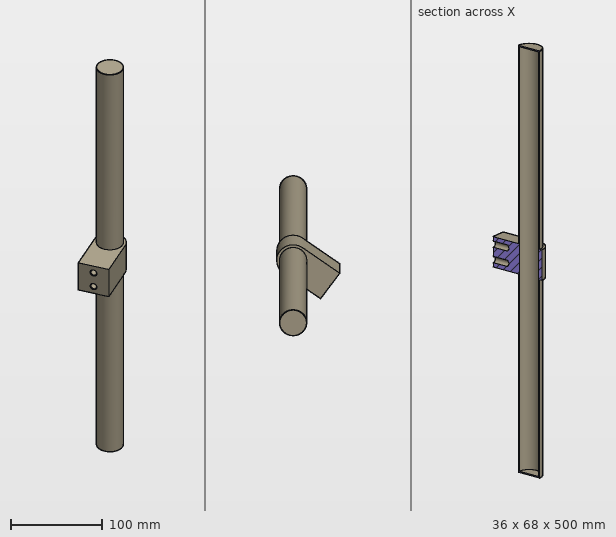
import cadquery as cq
import math

rod_length = 500.0
rod_diameter = 30.0
rod_bore_diameter = 26.0
rod_cap_thickness = 2.0
rod_end_chamfer = 0.5

block_width = 36.0
block_height = 36.0
block_reach = 50.0

hole_diameter = 6.65
hole_mouth_diameter = 8.0
hole_spacing = 18.0
hole_depth = 20.0
drill_point_angle = 118.0


def make_rod():
    rod = cq.Workplane("XY").circle(rod_diameter / 2).extrude(rod_length / 2, both=True)
    return rod.faces("|Z").edges().chamfer(rod_end_chamfer)


def make_rod_cavity():
    """Enclosed bore of the rod, stopping short of both ends by the cap thickness."""
    half_length = rod_length / 2 - rod_cap_thickness
    return cq.Workplane("XY").circle(rod_bore_diameter / 2).extrude(half_length, both=True)


def make_block():
    """Block with a flat face at -Y and a half-round back around the rod axis."""
    half_width = block_width / 2
    return (
        cq.Workplane("XY")
        .moveTo(-half_width, -block_reach)
        .lineTo(half_width, -block_reach)
        .lineTo(half_width, 0)
        .threePointArc((0, half_width), (-half_width, 0))
        .close()
        .extrude(block_height / 2, both=True)
    )


def make_hole_cutter(z):
    """Countersunk, drill-shaped solid entering the flat face along +Y at height z."""
    radius = hole_diameter / 2
    tip_length = radius / math.tan(math.radians(drill_point_angle / 2))
    tip_y = hole_depth + tip_length
    mouth_radius = hole_mouth_diameter / 2
    mouth_depth = mouth_radius - radius
    profile = [(0, 0), (mouth_radius, 0), (radius, mouth_depth), (radius, hole_depth), (0, tip_y)]
    cutter = cq.Workplane("XY").polyline(profile).close().revolve(360, (0, 0), (0, 1))
    return cutter.translate((0, -block_reach, z))


result = make_rod().union(make_block()).cut(make_rod_cavity())
for side in (-1, 1):
    result = result.cut(make_hole_cutter(side * hole_spacing / 2))